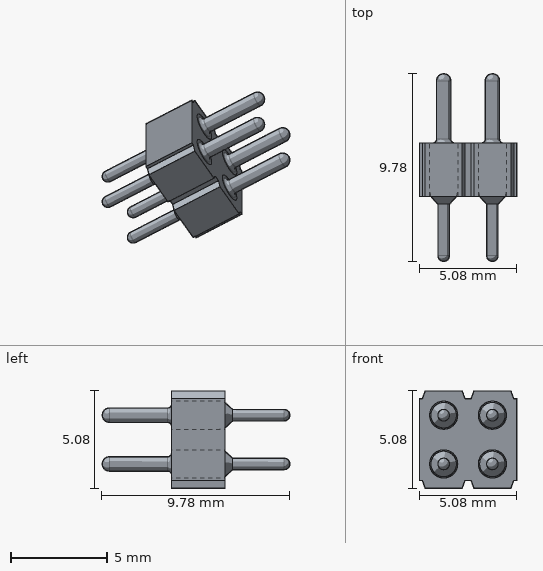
import cadquery as cq
import math

total_length = 9.78
housing_width = 5.08
cells_per_side = 2
pitch = housing_width / cells_per_side

housing_depth = 2.8
lug_height = 0.4
lug_base_inset = 0.16
lug_top_inset = 0.3

barrel_radius = 0.73
front_tail_length = 3.37
front_tail_radius = 0.3
cone_height = 0.39
cone_base_radius = 0.665
rear_tail_length = total_length - housing_depth - front_tail_length
rear_tail_radius = 0.38
rear_fillet_radius = 0.2
rear_shoulder_radius = rear_tail_radius + rear_fillet_radius

barrel_taper_length = 0.29

cell_centres = [(i - (cells_per_side - 1) / 2) * pitch for i in range(cells_per_side)]
pin_places = [(x, z) for x in cell_centres for z in cell_centres]


def make_housing():
    """Block with tapered lugs along top and bottom and one round hole per pin."""
    half_width = housing_width / 2
    lug_base_z = half_width - lug_height
    half_base = pitch / 2 - lug_base_inset
    half_top = pitch / 2 - lug_top_inset

    block = cq.Workplane("XZ").rect(housing_width, 2 * lug_base_z).extrude(-housing_depth)
    for x in cell_centres:
        for side in (1, -1):
            lug = (
                cq.Workplane("XZ")
                .moveTo(x - half_base, side * lug_base_z)
                .lineTo(x - half_top, side * half_width)
                .lineTo(x + half_top, side * half_width)
                .lineTo(x + half_base, side * lug_base_z)
                .close()
                .extrude(-housing_depth)
            )
            block = block.union(lug)

    holes = cq.Workplane("XZ").pushPoints(pin_places).circle(barrel_radius).extrude(-housing_depth)
    return block.cut(holes).solids()


def make_pin(x, z):
    """Pin revolved about an axis parallel to Y, with domed ends and a filleted rear shoulder."""
    front_tip_y = -front_tail_length
    rear_tip_y = housing_depth + rear_tail_length
    diagonal = math.sqrt(0.5)

    profile = (
        cq.Workplane("XY")
        .moveTo(0, front_tip_y)
        .threePointArc(
            (front_tail_radius * diagonal, front_tip_y + front_tail_radius * (1 - diagonal)),
            (front_tail_radius, front_tip_y + front_tail_radius),
        )
        .lineTo(front_tail_radius, -cone_height)
        .lineTo(cone_base_radius, 0)
        .lineTo(barrel_radius, barrel_taper_length)
        .lineTo(barrel_radius, housing_depth)
        .lineTo(rear_shoulder_radius, housing_depth)
        .threePointArc(
            (
                rear_tail_radius + rear_fillet_radius * (1 - diagonal),
                housing_depth + rear_fillet_radius * (1 - diagonal),
            ),
            (rear_tail_radius, housing_depth + rear_fillet_radius),
        )
        .lineTo(rear_tail_radius, rear_tip_y - rear_tail_radius)
        .threePointArc(
            (rear_tail_radius * diagonal, rear_tip_y - rear_tail_radius * (1 - diagonal)),
            (0, rear_tip_y),
        )
        .close()
    )
    pin = profile.revolve(360, (0, 0, 0), (0, 1, 0))
    return pin.translate((x, 0, z))


housing = make_housing()
pins = [make_pin(x, z) for x, z in pin_places]

result = cq.Compound.makeCompound([housing.val(), *[pin.val() for pin in pins]])